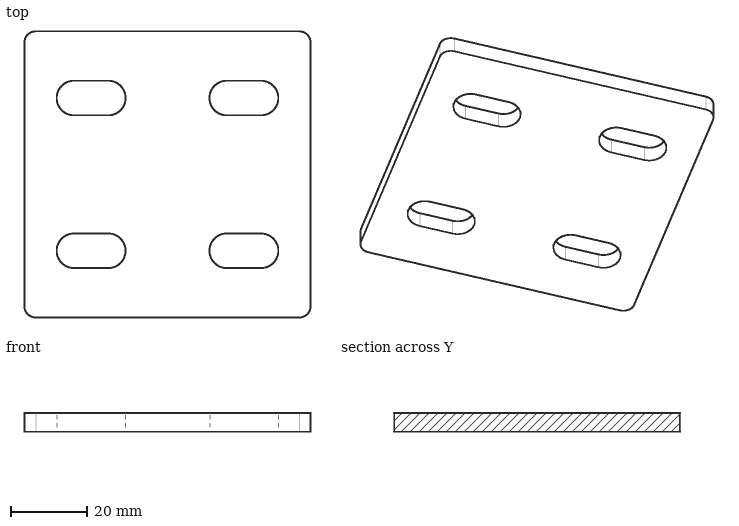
import cadquery as cq

plate_side = 75.0
plate_thickness = 5.0
corner_radius = 3.0

slot_length = 18.0
slot_width = 9.0
slot_spacing = 40.0


def make_plate():
    """Square plate centred on the origin, with rounded vertical corners."""
    plate = cq.Workplane("XY").box(plate_side, plate_side, plate_thickness)
    return plate.edges("|Z").fillet(corner_radius)


def cut_slots(plate):
    """Cut the round-ended slots through the full thickness."""
    return (
        plate.faces(">Z")
        .workplane()
        .rarray(slot_spacing, slot_spacing, 2, 2)
        .slot2D(slot_length, slot_width)
        .cutThruAll()
    )


result = cut_slots(make_plate())